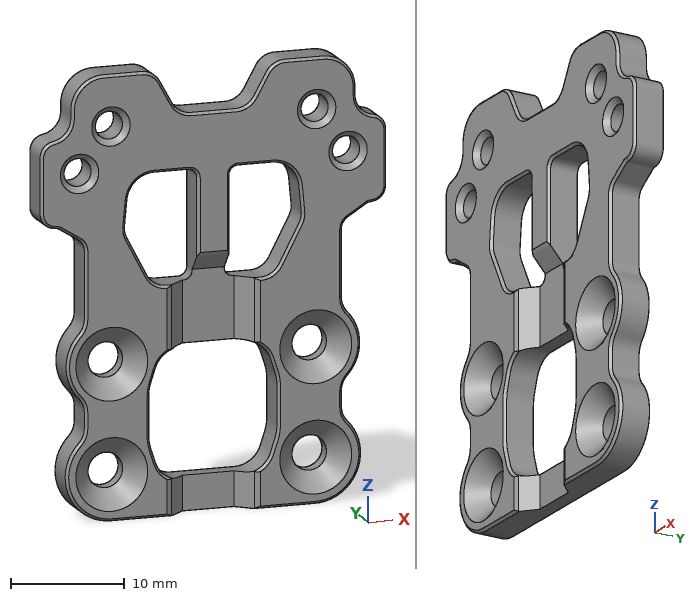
import cadquery as cq
import math

width = 32.2
height = 40.6
thickness = 3.0
edge_chamfer = 0.25

waist_half_width = 11.97
head_half_width = 13.23
arm_half_width = width / 2
arm_top_z = 34.7
arm_bottom_z = 27.1
arm_corner_radius = 1.42
arm_shoulder_z = 35.2
arm_foot_x = 14.45
arm_foot_z = 26.95
arm_foot_radius = 0.5
waist_top_z = 25.4
waist_top_radius = 1.2
notch_floor_z = 36.5
notch_floor_half_width = 3.25
notch_top_half_width = 5.5
soft_radius = 2.0
head_corner_radius = 3.0

boss_x = 9.5
boss_spacing = 10.02
lower_boss_radius = 4.25
upper_boss_radius = 4.2
lower_boss_z = lower_boss_radius
upper_boss_z = lower_boss_z + boss_spacing

screw_hole_diameter = 3.2
screw_head_diameter = 6.7
pin_hole_diameter = 2.5
pin_head_diameter = 3.57
countersink_angle = 90
pin_hole_centers = [(9.58, 35.87), (12.5, 31.8)]

bar_half_width = 1.5
upper_window_top_z = 31.33
upper_window_bottom_z = 21.0
upper_window_top_half_width = 7.8
upper_window_bend_half_width = 8.28
upper_window_bend_z = 26.1
upper_window_bottom_half_width = 5.6
bar_corner_radius = 0.8
window_corner_radius = 2.5
lower_window_half_width = 5.95
lower_window_top_z = 15.25
lower_window_bottom_z = 3.25
lower_window_end_half_width = 4.8
lower_window_slant_height = 3.57
lower_window_bend_radius = 4.0

channel_floor_half_width = 2.4
channel_side_half_width = 3.85
channel_rim_half_width = 4.35
channel_depth = thickness / 2
channel_rim_depth = 0.2
channel_floor_end_z = 21.87
channel_ramp_end_z = 23.37
channel_rim_end_z = 23.75


def mirrored(corners):
    """Return the corners reflected to the -X side, in reverse order."""
    return [(-x, z, radius) for x, z, radius in reversed(corners)]


def rounded_prism(corners):
    """Extrude a closed polygon of (x, z, corner radius) through the plate thickness."""
    count = len(corners)
    wire = None
    for i, (x, z, radius) in enumerate(corners):
        corner = cq.Vector(x, z)
        to_previous = (cq.Vector(*corners[i - 1][:2]) - corner).normalized()
        to_next = (cq.Vector(*corners[(i + 1) % count][:2]) - corner).normalized()
        half_angle = to_previous.getAngle(to_next) / 2
        setback = radius / math.tan(half_angle)
        start = corner + to_previous * setback
        if wire is None:
            wire = cq.Workplane("XZ").moveTo(start.x, start.y)
        else:
            wire = wire.lineTo(start.x, start.y)
        if radius > 0:
            bisector = (to_previous + to_next).normalized()
            middle = corner + bisector * (radius / math.sin(half_angle) - radius)
            end = corner + to_next * setback
            wire = wire.threePointArc((middle.x, middle.y), (end.x, end.y))
    return wire.close().extrude(-thickness)


def both_sides(centers):
    """Return the centers together with their reflections across X = 0."""
    return [(side * x, z) for x, z in centers for side in (1, -1)]


def blank():
    """Plate outline with the four screw bosses blended into the waist."""
    right_side = [
        (notch_floor_half_width, notch_floor_z, soft_radius),
        (notch_top_half_width, height, soft_radius),
        (head_half_width, height, head_corner_radius),
        (head_half_width, arm_shoulder_z, soft_radius),
        (arm_half_width, arm_top_z, arm_corner_radius),
        (arm_half_width, arm_bottom_z, arm_corner_radius),
        (arm_foot_x, arm_foot_z, arm_foot_radius),
        (waist_half_width, waist_top_z, waist_top_radius),
        (waist_half_width, lower_boss_z, 0),
        (boss_x, 0, 0),
    ]
    body = rounded_prism(right_side + mirrored(right_side))
    for z, radius in [(lower_boss_z, lower_boss_radius), (upper_boss_z, upper_boss_radius)]:
        discs = cq.Workplane("XZ").pushPoints(both_sides([(boss_x, z)])).circle(radius)
        body = body.union(discs.extrude(-thickness))
    selection_margin = 0.05
    for side in (1, -1):
        waist_corners = cq.selectors.BoxSelector(
            (side * (waist_half_width - selection_margin), 0, lower_boss_z),
            (side * (waist_half_width + selection_margin), thickness, upper_boss_z + boss_spacing / 2),
        )
        body = body.edges("|Y").edges(waist_corners).fillet(soft_radius)
    return body


def windows():
    """Two upper windows beside the bar and one lower window."""
    upper_right = [
        (bar_half_width, upper_window_top_z, bar_corner_radius),
        (upper_window_top_half_width, upper_window_top_z, window_corner_radius),
        (upper_window_bend_half_width, upper_window_bend_z, soft_radius),
        (upper_window_bottom_half_width, upper_window_bottom_z, soft_radius),
        (bar_half_width, upper_window_bottom_z, bar_corner_radius),
    ]
    lower_right = [
        (lower_window_end_half_width, lower_window_top_z, window_corner_radius),
        (lower_window_half_width, lower_window_top_z - lower_window_slant_height, lower_window_bend_radius),
        (lower_window_half_width, lower_window_bottom_z + lower_window_slant_height, lower_window_bend_radius),
        (lower_window_end_half_width, lower_window_bottom_z, window_corner_radius),
    ]
    upper_windows = rounded_prism(upper_right).union(rounded_prism(mirrored(upper_right)))
    return upper_windows.union(rounded_prism(lower_right + mirrored(lower_right)))


def channel():
    """Channel running up from the bottom edge, ending in a ramp under the bar."""
    half_section = [
        (channel_floor_half_width, channel_depth),
        (channel_side_half_width, channel_rim_depth),
        (channel_rim_half_width, 0),
    ]
    section = half_section + [(-x, y) for x, y in reversed(half_section)]
    trough = cq.Workplane("XY").polyline(section).close().extrude(channel_rim_end_z)
    ramp_profile = [
        (0, 0),
        (channel_depth, 0),
        (channel_depth, channel_floor_end_z),
        (channel_rim_depth, channel_ramp_end_z),
        (0, channel_rim_end_z),
    ]
    ramp = cq.Workplane("YZ").polyline(ramp_profile).close().extrude(channel_rim_half_width, both=True)
    below_windows = cq.Workplane("XY").box(
        width, thickness, upper_window_bottom_z + bar_corner_radius, centered=(True, False, False)
    )
    at_bar = cq.Workplane("XY").box(2 * bar_half_width, thickness, height, centered=(True, False, False))
    return trough.intersect(ramp).intersect(below_windows.union(at_bar))


result = blank().cut(windows())
result = result.faces("<Y").edges().chamfer(edge_chamfer)
result = result.cut(channel())

screw_hole_centers = [(boss_x, lower_boss_z), (boss_x, upper_boss_z)]
front_face = cq.Workplane("XZ")
for centers, hole_diameter, head_diameter in [
    (screw_hole_centers, screw_hole_diameter, screw_head_diameter),
    (pin_hole_centers, pin_hole_diameter, pin_head_diameter),
]:
    result = (
        result.copyWorkplane(front_face)
        .pushPoints(both_sides(centers))
        .cskHole(hole_diameter, head_diameter, countersink_angle)
    )